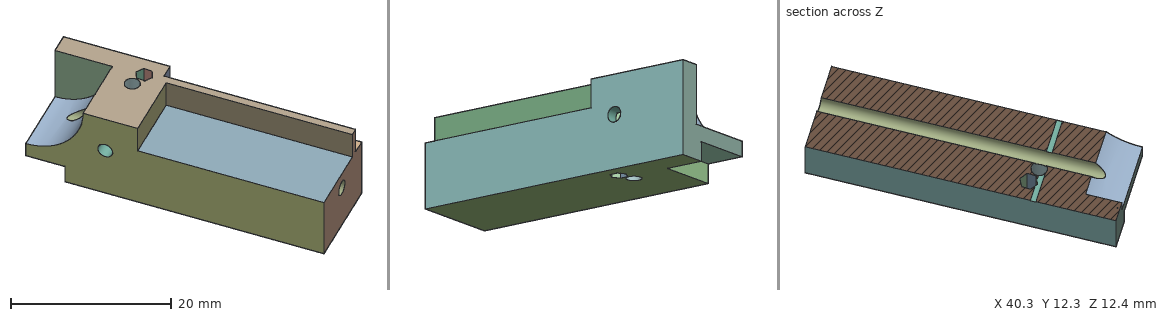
import cadquery as cq

LENGTH = 40.31
WIDTH = 12.27
HEIGHT = 12.35

CRADLE_RADIUS = 7.76
CRADLE_WALL = 2.8

NOTCH_LENGTH = 5.3
NOTCH_HEIGHT = 2.55
NOTCH_WALL = 3.78

LEDGE_DEPTH = 3.75
FRONT_LEDGE_START = 15.14
BACK_LEDGE_START = 14.4
BACK_LEDGE_WIDTH = 1.97
RAIL_THICKNESS = 1.07

HOLE_DIAMETER = 2.0
LENGTHWISE_HOLE_Y = WIDTH - 6.47
LENGTHWISE_HOLE_Z = 6.28
CROSS_HOLE_X = 10.75
CROSS_HOLE_Z = HEIGHT - 5.23
UPRIGHT_HOLE_X = 11.3
UPRIGHT_HOLE_Y = WIDTH - 4.82

HEX_CORNER_DIAMETER = 2.31
HEX_X = 12.05
HEX_Y = WIDTH - 2.68
HEX_TURN = -4.0


def box(x_min, y_min, z_min, x_size, y_size, z_size):
    """Axis-aligned box placed by its lowest corner."""
    block = cq.Workplane("XY").box(x_size, y_size, z_size, centered=False)
    return block.translate((x_min, y_min, z_min))


def through_hole(start, direction, length):
    """Cylinder of the common hole diameter from a start point along an axis."""
    cylinder = cq.Solid.makeCylinder(
        HOLE_DIAMETER / 2, length, cq.Vector(*start), cq.Vector(*direction)
    )
    return cq.Workplane(obj=cylinder)


def cradle():
    """Cylinder centred on the top edge of the -X end, stopping at the back wall."""
    cylinder = cq.Solid.makeCylinder(
        CRADLE_RADIUS, WIDTH - CRADLE_WALL, cq.Vector(0, 0, HEIGHT), cq.Vector(0, 1, 0)
    )
    return cq.Workplane(obj=cylinder)


def notch():
    return box(0, 0, 0, NOTCH_LENGTH, WIDTH - NOTCH_WALL, NOTCH_HEIGHT)


def front_ledge():
    ledge_width = WIDTH - BACK_LEDGE_WIDTH - RAIL_THICKNESS
    ledge_length = LENGTH - FRONT_LEDGE_START
    return box(FRONT_LEDGE_START, 0, HEIGHT - LEDGE_DEPTH, ledge_length, ledge_width, LEDGE_DEPTH)


def back_ledge():
    ledge_y = WIDTH - BACK_LEDGE_WIDTH
    ledge_length = LENGTH - BACK_LEDGE_START
    return box(
        BACK_LEDGE_START, ledge_y, HEIGHT - LEDGE_DEPTH, ledge_length, BACK_LEDGE_WIDTH, LEDGE_DEPTH
    )


def hex_hole():
    prism = cq.Workplane("XY").polygon(6, HEX_CORNER_DIAMETER).extrude(HEIGHT)
    turned = prism.rotate((0, 0, 0), (0, 0, 1), HEX_TURN)
    return turned.translate((HEX_X, HEX_Y, 0))


cuts = [
    cradle(),
    notch(),
    front_ledge(),
    back_ledge(),
    through_hole((0, LENGTHWISE_HOLE_Y, LENGTHWISE_HOLE_Z), (1, 0, 0), LENGTH),
    through_hole((CROSS_HOLE_X, 0, CROSS_HOLE_Z), (0, 1, 0), WIDTH),
    through_hole((UPRIGHT_HOLE_X, UPRIGHT_HOLE_Y, 0), (0, 0, 1), HEIGHT),
    hex_hole(),
]

result = box(0, 0, 0, LENGTH, WIDTH, HEIGHT)
for cut in cuts:
    result = result.cut(cut)